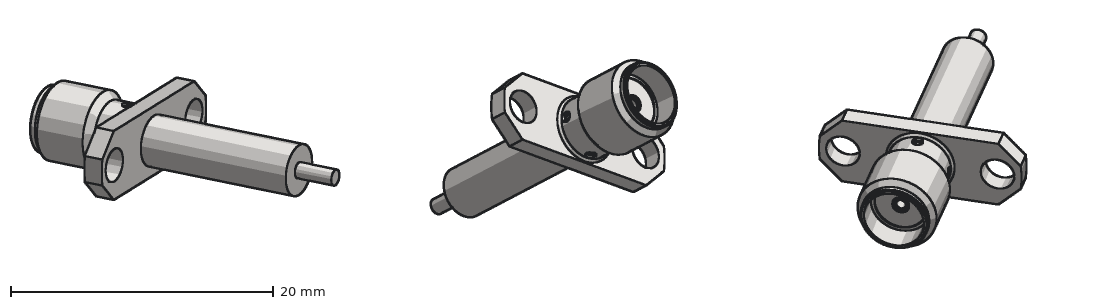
import cadquery as cq

lip_radius = 2.67
body_radius = 3.12
neck_radius = 2.5
rod_radius = 2.03
pin_radius = 0.64

total_length = 25.4
lip_chamfer = 0.1
front_bevel_end = 0.95
lip_end = front_bevel_end - (body_radius - lip_radius)
body_end = 4.95
neck_start = body_end + (body_radius - neck_radius)
flange_start = 7.9
flare_height = 0.23
flare_start = flange_start - flare_height
flange_end = 9.45
rod_end = 22.2

bore_radius = 2.35
bore_depth = 2.03
floor_cone_height = 0.03
insulator_radius = 2.05
insulator_depth = 2.08

contact_radius = 0.65
contact_height = 0.08
contact_hole_radius = 0.38
contact_countersink = 0.13
contact_hole_depth = 2.03

flange_end_radius = 8.0
flange_height = 5.65
flange_flat_half_length = 6.17
mount_hole_offset = 6.1
mount_hole_radius = 1.32

neck_hole_x = 7.15
neck_hole_radius = 0.3
neck_hole_mouth_radius = 0.45
neck_hole_depth = 0.28
neck_hole_count = 4


def axial_cylinder(start, end, radius):
    return cq.Workplane("YZ", origin=(start, 0, 0)).circle(radius).extrude(end - start)


def revolve_about_x(profile):
    return cq.Workplane("XY").polyline(profile).close().revolve(360, (0, 0, 0), (1, 0, 0))


def turned_body():
    profile = [
        (0, 0),
        (0, lip_radius - lip_chamfer),
        (lip_chamfer, lip_radius),
        (lip_end, lip_radius),
        (front_bevel_end, body_radius),
        (body_end, body_radius),
        (neck_start, neck_radius),
        (flare_start, neck_radius),
        (flange_start, neck_radius + flare_height),
        (flange_start, rod_radius),
        (rod_end, rod_radius),
        (rod_end, pin_radius),
        (total_length, pin_radius),
        (total_length, 0),
    ]
    return revolve_about_x(profile)


def flange():
    thickness = flange_end - flange_start
    half_height = flange_height / 2
    tip = flange_flat_half_length + half_height
    outline = [
        (-tip, 0),
        (-flange_flat_half_length, half_height),
        (flange_flat_half_length, half_height),
        (tip, 0),
        (flange_flat_half_length, -half_height),
        (-flange_flat_half_length, -half_height),
    ]
    plate = cq.Workplane("YZ", origin=(flange_start, 0, 0)).polyline(outline).close().extrude(thickness)
    plate = plate.intersect(axial_cylinder(flange_start, flange_end, flange_end_radius))
    holes = (
        cq.Workplane("YZ", origin=(flange_start, 0, 0))
        .pushPoints([(-mount_hole_offset, 0), (mount_hole_offset, 0)])
        .circle(mount_hole_radius)
        .extrude(thickness)
    )
    return plate.cut(holes)


def socket():
    contact_face = insulator_depth - contact_height
    hole_end = contact_face + contact_hole_depth
    profile = [
        (0, 0),
        (0, bore_radius),
        (bore_depth, bore_radius),
        (bore_depth - floor_cone_height, insulator_radius),
        (insulator_depth, insulator_radius),
        (insulator_depth, contact_radius),
        (contact_face, contact_radius),
        (contact_face, contact_hole_radius + contact_countersink),
        (contact_face + contact_countersink, contact_hole_radius),
        (hole_end, contact_hole_radius),
        (hole_end, 0),
    ]
    return revolve_about_x(profile)


def neck_hole():
    countersink_depth = neck_hole_mouth_radius - neck_hole_radius
    profile = [
        (0, neck_radius - neck_hole_depth),
        (neck_hole_radius, neck_radius - neck_hole_depth),
        (neck_hole_radius, neck_radius - countersink_depth),
        (neck_hole_mouth_radius, neck_radius),
        (neck_hole_mouth_radius, body_radius),
        (0, body_radius),
    ]
    hole = cq.Workplane("XZ").polyline(profile).close().revolve(360, (0, 0, 0), (0, 1, 0))
    return hole.translate((neck_hole_x, 0, 0))


result = turned_body().union(flange()).cut(socket())
for index in range(neck_hole_count):
    angle = index * 360 / neck_hole_count
    result = result.cut(neck_hole().rotate((0, 0, 0), (1, 0, 0), angle))